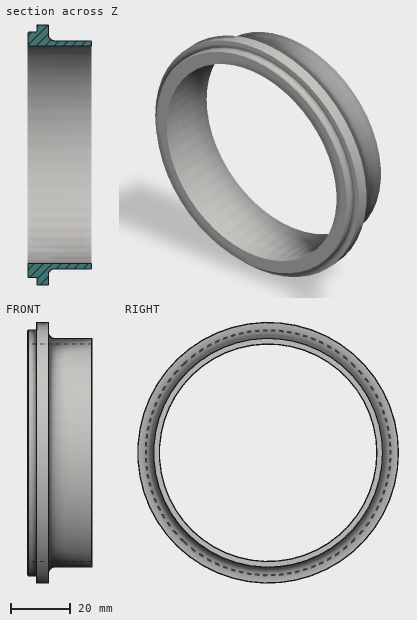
import cadquery as cq

total_length = 21.5
lip_length = 3.0
flange_thickness = 4.0
bore_diameter = 72.9
sleeve_diameter = 76.7
lip_diameter = 82.6
flange_diameter = 87.5
root_fillet = 2.0
lip_chamfer = 0.35

flange_back = lip_length + flange_thickness


def cylinder(diameter, start, end):
    """Solid cylinder along X between two positions."""
    return cq.Workplane("YZ").workplane(offset=start).circle(diameter / 2).extrude(end - start)


lip = cylinder(lip_diameter, 0, lip_length).faces("<X").edges().chamfer(lip_chamfer)

flange = cylinder(flange_diameter, lip_length, flange_back)
sleeve = cylinder(sleeve_diameter, lip_length, total_length)
back_face = cq.selectors.NearestToPointSelector((flange_back, 0, 0))
smallest_circle = cq.selectors.RadiusNthSelector(0)
flanged_sleeve = (
    flange.union(sleeve)
    .faces(back_face)
    .edges(smallest_circle)
    .fillet(root_fillet)
)

bore = cylinder(bore_diameter, 0, total_length)
result = lip.union(flanged_sleeve).cut(bore)